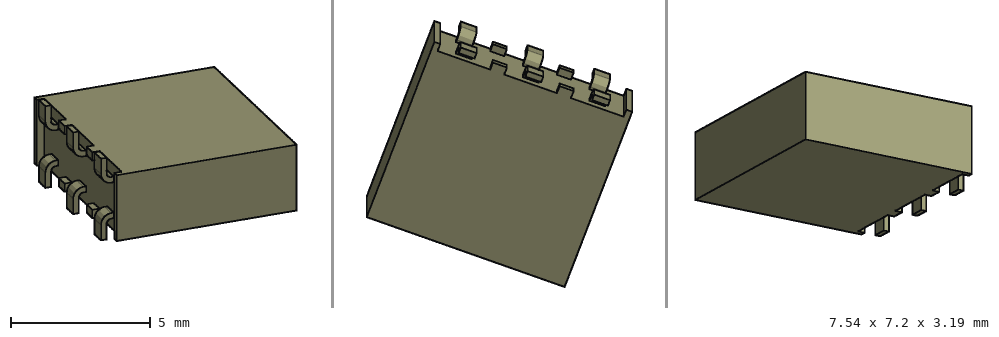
import cadquery as cq
import math

width = 7.54
total_depth = 7.2
total_height = 3.19
body_height = 2.57
recess_depth = 0.28
side_wall = 0.225

standoff_width = 0.535
standoff_height = 0.325

pin_pitch = 2.54
pin_count = 3
pin_width = 0.6
pin_thickness = 0.22
pin_flat = 0.6
bend_radius = 0.4

pin_face = -total_depth / 2
body_front = pin_face + pin_thickness
recess_floor = body_front + recess_depth
body_back = total_depth / 2
body_depth = body_back - body_front
row_start = -pin_pitch * (pin_count - 1) / 2
pin_centers = [row_start + i * pin_pitch for i in range(pin_count)]
standoff_centers = [x + pin_pitch / 2 for x in pin_centers[:-1]]


def make_body():
    """Block with the recess cut between its two side walls."""
    block = cq.Workplane("XY").box(width, body_depth, body_height)
    block = block.translate((0, (body_front + body_back) / 2, 0))
    recess = cq.Workplane("XY").box(width - 2 * side_wall, recess_depth, body_height)
    return block.cut(recess.translate((0, body_front + recess_depth / 2, 0)))


def make_standoff(x_center):
    """Upper standoff, reaching from the recess floor to the body front."""
    standoff = cq.Workplane("XY").box(standoff_width, recess_depth, standoff_height)
    z_center = (body_height - standoff_height) / 2
    return standoff.translate((x_center, body_front + recess_depth / 2, z_center))


def make_pin(x_center):
    """Upper terminal: leaves the recess floor, bends up and ends in a flat tab."""
    tip_z = total_height / 2
    bend_y = pin_face + bend_radius
    bend_z = tip_z - pin_flat
    inner_radius = bend_radius - pin_thickness
    diagonal = math.cos(math.radians(45))
    profile = (
        cq.Workplane("YZ")
        .moveTo(recess_floor, bend_z - bend_radius)
        .lineTo(bend_y, bend_z - bend_radius)
        .threePointArc(
            (bend_y - bend_radius * diagonal, bend_z - bend_radius * diagonal),
            (pin_face, bend_z),
        )
        .lineTo(pin_face, tip_z)
        .lineTo(body_front, tip_z)
        .lineTo(body_front, bend_z)
        .threePointArc(
            (bend_y - inner_radius * diagonal, bend_z - inner_radius * diagonal),
            (bend_y, bend_z - inner_radius),
        )
        .lineTo(recess_floor, bend_z - inner_radius)
        .close()
    )
    return profile.extrude(pin_width / 2, both=True).translate((x_center, 0, 0))


result = make_body()
upper_details = [make_standoff(x) for x in standoff_centers]
upper_details += [make_pin(x) for x in pin_centers]
for detail in upper_details:
    result = result.union(detail).union(detail.mirror("XY"))